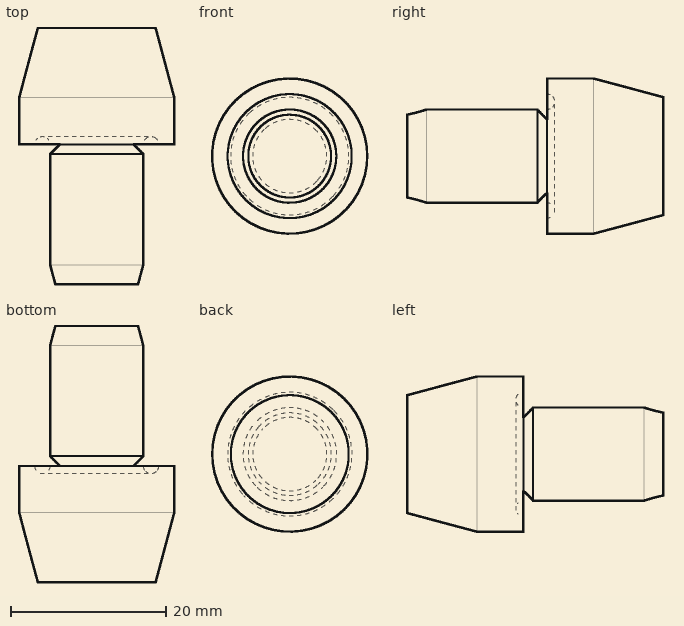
import cadquery as cq
import math

total_length = 33.0
pin_length = 18.02
collar_length = 6.0
neck_length = 1.25
tip_length = 2.5

head_radius = 10.0
pin_radius = 6.0
relief_radius = 8.0
taper_angle = math.radians(15)
neck_angle = math.radians(45)

tip_y = -total_length
face_y = tip_y + pin_length
collar_end_y = face_y + collar_length
shank_end_y = face_y - neck_length

tip_radius = pin_radius - tip_length * math.tan(taper_angle)
head_end_radius = head_radius + collar_end_y * math.tan(taper_angle)
neck_radius = pin_radius - neck_length * math.tan(neck_angle)

groove_radius = (relief_radius - pin_radius) / 2
groove_bottom = (pin_radius + groove_radius, face_y + groove_radius)

result = (
    cq.Workplane("XY")
    .moveTo(0, tip_y)
    .lineTo(tip_radius, tip_y)
    .lineTo(pin_radius, tip_y + tip_length)
    .lineTo(pin_radius, shank_end_y)
    .lineTo(neck_radius, face_y)
    .lineTo(pin_radius, face_y)
    .threePointArc(groove_bottom, (relief_radius, face_y))
    .lineTo(head_radius, face_y)
    .lineTo(head_radius, collar_end_y)
    .lineTo(head_end_radius, 0)
    .lineTo(0, 0)
    .close()
    .revolve(360, (0, 0, 0), (0, 1, 0))
)